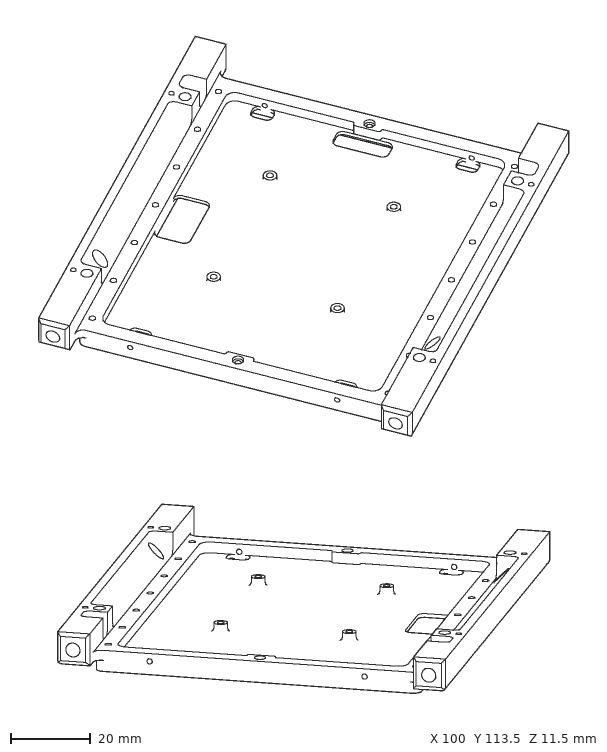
import cadquery as cq
LENGTH = 113.5
WIDTH = 100.0
HEIGHT = 11.5

RAIL_WIDTH = 8.3
RAIL_HEIGHT = 8.5
RAIL_CHAMFER = 0.9
RAIL_BOTTOM_CHAMFER = 1.2
RAIL_BOTTOM_FILLET = 1.2
RAIL_INNER_X = WIDTH / 2 - RAIL_WIDTH
RAIL_BASE_Z = HEIGHT - RAIL_HEIGHT
RAIL_CENTRE_X = WIDTH / 2 - RAIL_WIDTH / 2
RAIL_CENTRE_Z = RAIL_BASE_Z + RAIL_HEIGHT / 2

END_HOLE_DIAMETER = 3.6
END_HOLE_DEPTH = 9.1
END_HOLE_TIP = 1.1

PLATE_WIDTH = 83.8
PLATE_LENGTH = 100.0
PLATE_HEIGHT = 5.6
PLATE_CORNER = 2.2

TRAY_WIDTH = 74.7
TRAY_LENGTH = 91.9
TRAY_CORNER = 2.6
FLOOR_Z = 2.7
FLOOR_THICKNESS = 1.0
UNDERSIDE_Z = FLOOR_Z - FLOOR_THICKNESS
LUG_WIDTH = 7.3
LUG_DEPTH = 1.1
LUG_FILLET = 0.51

END_SLOT_X = 27.5
END_SLOT_WIDTH = 5.8
END_SLOT_LENGTH = 4.1
END_SLOT_CORNER = 1.5
BACK_WINDOW_WIDTH = 14.9
BACK_WINDOW_LENGTH = 5.6
BACK_WINDOW_Y = 42.0
SIDE_WINDOW_WIDTH = 9.5
SIDE_WINDOW_LENGTH = 16.5
WINDOW_CORNER = 1.7

STANDOFF_X = 16.6
STANDOFF_Y = 20.1
STANDOFF_DIAMETER = 3.4
STANDOFF_FLARE = 1.7
STANDOFF_HEIGHT = 2.8
STANDOFF_BORE = 1.7

BORDER_HOLE_X = 39.6
BORDER_HOLE_SHIFT = -0.2
BORDER_HOLE_PITCH = 15.0
BORDER_HOLE_COUNT = 7
BORDER_HOLE_DIAMETER = 1.6
LUG_HOLE_Y = 46.9
LUG_HOLE_DIAMETER = 1.5
LUG_BORE_DIAMETER = 2.8
LUG_BORE_DEPTH = 0.9
WALL_HOLE_X = 27.7
WALL_HOLE_Z = 3.5
WALL_HOLE_DIAMETER = 1.4

RECESS_SPANS = ((36.9, 41.9), (-33.1, 31.3))
RECESS_FILLET = 1.4

RAIL_HOLE_X = 44.5
RAIL_HOLE_YS = (33.9, -36.1)
RAIL_HOLE_DIAMETER = 3.0
PIN_HOLE_X = 48.1
PIN_HOLE_DIAMETER = 1.4
PIN_HOLE_DEPTH = 3.4
CABLE_HOLE_Y = -26.7
CABLE_HOLE_DIAMETER = 3.7


def block(width, length, z_low, z_high, x=0, y=0):
    """Upright block centred on (x, y)."""
    base = cq.Workplane("XY", origin=(x, y, z_low))
    return base.rect(width, length).extrude(z_high - z_low)


def upright_holes(points, diameter, z_low=0, z_high=HEIGHT):
    """Vertical cylinders at the given points."""
    base = cq.Workplane("XY", origin=(0, 0, z_low)).pushPoints(points)
    return base.circle(diameter / 2).extrude(z_high - z_low)


def mirrored(shape):
    """Shape together with its copy on the other side in X."""
    return shape.union(shape.mirror("YZ"))


def rail():
    """Bar with chamfered ends and a rounded lower outer edge."""
    body = block(RAIL_WIDTH, LENGTH, RAIL_BASE_Z, HEIGHT, x=RAIL_CENTRE_X)
    body = body.faces("<Y or >Y").edges("|Z or >Z").chamfer(RAIL_CHAMFER)
    body = body.faces("<Z").edges("<Y or >Y").chamfer(RAIL_BOTTOM_CHAMFER)
    return body.faces("<Z").edges("|Y").edges(">X").fillet(RAIL_BOTTOM_FILLET)


def rail_end_hole():
    """Blind drilled hole with a conical tip, entering from the front end."""
    radius = END_HOLE_DIAMETER / 2
    profile = cq.Workplane("XY", origin=(RAIL_CENTRE_X, -LENGTH / 2, RAIL_CENTRE_Z))
    profile = profile.polyline([(0, 0), (radius, 0), (radius, END_HOLE_DEPTH), (0, END_HOLE_DEPTH + END_HOLE_TIP)])
    return profile.close().revolve(360, (0, 0), (0, 1))


def rail_recess(y_low, y_high):
    """45 degree cut rising from the plate to the rail top, rounded at both ends."""
    rise = HEIGHT - PLATE_HEIGHT
    profile = cq.Workplane("XZ", origin=(RAIL_INNER_X, y_high, PLATE_HEIGHT))
    wedge = profile.polyline([(0, 0), (rise, rise), (0, rise)]).close().extrude(y_high - y_low)
    slope_ends = cq.selectors.ParallelDirSelector(cq.Vector(1, 0, 1))
    return wedge.edges(slope_ends).fillet(RECESS_FILLET)


def plate():
    """Plate with rounded lower corners, reaching into the rails above them."""
    lower = block(PLATE_WIDTH, PLATE_LENGTH, 0, RAIL_BASE_Z).edges("|Z").fillet(PLATE_CORNER)
    upper = block(2 * RAIL_CENTRE_X, PLATE_LENGTH, RAIL_BASE_Z, PLATE_HEIGHT)
    return lower.union(upper)


def plate_gusset():
    """Concave fillet between the front edge of the plate and a rail."""
    x = RAIL_INNER_X - PLATE_CORNER
    y = -PLATE_LENGTH / 2 - PLATE_CORNER
    corner = block(PLATE_CORNER, PLATE_CORNER, RAIL_BASE_Z, PLATE_HEIGHT, x + PLATE_CORNER / 2, y + PLATE_CORNER / 2)
    return corner.cut(upright_holes([(x, y)], 2 * PLATE_CORNER))


def recess_blank(z_low, z_high):
    """Plain rectangular recess with rounded corners."""
    return block(TRAY_WIDTH, TRAY_LENGTH, z_low, z_high).edges("|Z").fillet(TRAY_CORNER)


def tray():
    """Upper recess, narrowed by a rounded lug at the middle of its front and back walls."""
    recess = recess_blank(FLOOR_Z, PLATE_HEIGHT)
    for side in (-1, 1):
        y = side * (TRAY_LENGTH - LUG_DEPTH) / 2
        recess = recess.cut(block(LUG_WIDTH, LUG_DEPTH, FLOOR_Z, PLATE_HEIGHT, y=y))
    lug_sides = cq.selectors.BoxSelector(
        (-LUG_WIDTH, -TRAY_LENGTH, 0), (LUG_WIDTH, TRAY_LENGTH, HEIGHT)
    )
    return recess.edges("|Z").edges(lug_sides).fillet(LUG_FILLET)


def floor_openings():
    """Back window, side window and four end slots through the tray floor."""
    slot_y = (TRAY_LENGTH - END_SLOT_LENGTH) / 2
    cuts = block(BACK_WINDOW_WIDTH, BACK_WINDOW_LENGTH, 0, FLOOR_Z,
                 y=BACK_WINDOW_Y)
    cuts = cuts.union(block(SIDE_WINDOW_WIDTH, SIDE_WINDOW_LENGTH, 0, FLOOR_Z,
                            x=(SIDE_WINDOW_WIDTH - TRAY_WIDTH) / 2))
    cuts = cuts.edges("|Z").fillet(WINDOW_CORNER)
    for x in (-END_SLOT_X, END_SLOT_X):
        for y in (-slot_y, slot_y):
            slot = block(END_SLOT_WIDTH, END_SLOT_LENGTH, 0, FLOOR_Z, x, y)
            cuts = cuts.union(slot.edges("|Z").fillet(END_SLOT_CORNER))
    return cuts


def standoff(x, y):
    """Post whose foot flares into the floor with a concave fillet."""
    radius = STANDOFF_DIAMETER / 2
    mid = STANDOFF_FLARE * (1 - 0.5 ** 0.5)
    profile = cq.Workplane("XZ", origin=(x, y, FLOOR_Z)).lineTo(radius + STANDOFF_FLARE, 0)
    profile = profile.threePointArc((radius + mid, mid), (radius, STANDOFF_FLARE))
    profile = profile.lineTo(radius, STANDOFF_HEIGHT).lineTo(0, STANDOFF_HEIGHT).close()
    return profile.revolve(360, (0, 0), (0, 1))


gussets = plate_gusset()
gussets = gussets.union(gussets.mirror("XZ"))
end_holes = rail_end_hole()
end_holes = end_holes.union(end_holes.mirror("XZ"))
result = plate().union(mirrored(rail())).union(mirrored(gussets)).cut(mirrored(end_holes))

standoff_points = [(x, y) for x in (-STANDOFF_X, STANDOFF_X) for y in (-STANDOFF_Y, STANDOFF_Y)]
result = result.cut(tray()).cut(recess_blank(0, UNDERSIDE_Z)).cut(floor_openings())
for standoff_x, standoff_y in standoff_points:
    result = result.union(standoff(standoff_x, standoff_y))
result = result.cut(upright_holes(standoff_points, STANDOFF_BORE))

for y_low, y_high in RECESS_SPANS:
    result = result.cut(mirrored(rail_recess(y_low, y_high)))

result = result.cut(mirrored(upright_holes([(RAIL_HOLE_X, y) for y in RAIL_HOLE_YS], RAIL_HOLE_DIAMETER)))
pin_points = [(PIN_HOLE_X, y) for y in RAIL_HOLE_YS]
result = result.cut(mirrored(upright_holes(pin_points, PIN_HOLE_DIAMETER, HEIGHT - PIN_HOLE_DEPTH)))
result = result.cut(mirrored(upright_holes([(RAIL_HOLE_X, CABLE_HOLE_Y)], CABLE_HOLE_DIAMETER)))

first_y = BORDER_HOLE_SHIFT - BORDER_HOLE_PITCH * (BORDER_HOLE_COUNT - 1) / 2
border_points = [(BORDER_HOLE_X, first_y + i * BORDER_HOLE_PITCH) for i in range(BORDER_HOLE_COUNT)]
lug_points = [(0, -LUG_HOLE_Y), (0, LUG_HOLE_Y)]
result = result.cut(mirrored(upright_holes(border_points, BORDER_HOLE_DIAMETER)))
result = result.cut(upright_holes(lug_points, LUG_HOLE_DIAMETER))
result = result.cut(upright_holes(lug_points, LUG_BORE_DIAMETER, PLATE_HEIGHT - LUG_BORE_DEPTH))

wall_holes = cq.Workplane("XZ", origin=(WALL_HOLE_X, 0, WALL_HOLE_Z)).circle(WALL_HOLE_DIAMETER / 2)
result = result.cut(mirrored(wall_holes.extrude(PLATE_LENGTH / 2, both=True)))